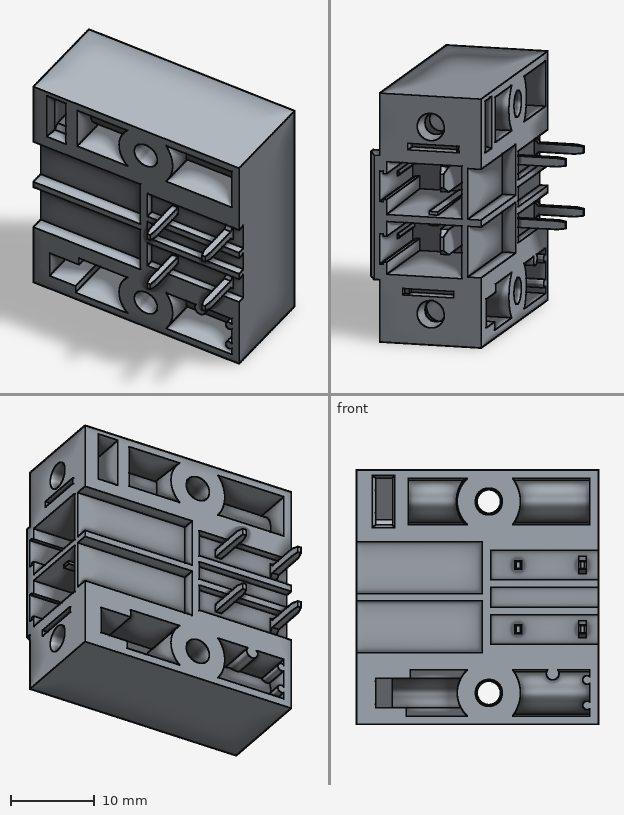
import cadquery as cq

LENGTH = 29.0
DEPTH = 12.65
HEIGHT = 30.48

FLANGE_Z = 11.45
SCREW_Y = 6.28
BOSS_X = 15.85
BOSS_RADIUS = 3.78
BOSS_FLARE = 0.2
BOSS_HOLE_FRONT = 1.62
BOSS_HOLE_BACK = 1.4
SCREW_HOLE_MOUTH = 1.68
SCREW_HOLE_RADIUS = 1.37
SCREW_LEAD_IN = 1.85

POCKET_HALF_HEIGHT = 2.77
LEFT_POCKET_X = 6.2
RIGHT_POCKET_END = 27.95
RIGHT_ARC_X = 15.0
RIGHT_ARC_RADIUS = 4.63
TUBE_Y = 5.58
TUBE_RADIUS = 2.53
PLAIN_POCKET_TOP_X = 6.43
PLAIN_POCKET_BOTTOM_X = 5.95
CHANNEL_X = 2.3
CHANNEL_FLAT_END = 4.3
CHANNEL_RADIUS = 1.77

RIB_HALF = 0.43
POSITION_Z = 3.85
FRONT_RECESS_LENGTH = 15.05
FRONT_RECESS_DEPTH = 1.68
FRONT_RECESS_TOP = 6.65
PIN_RECESS_X = 16.05
PIN_RECESS_DEPTH = 1.0
PIN_RECESS_HALF = 1.77
MIDDLE_RECESS_HALF = 1.22

SOCKET_DEPTH = 14.33
SOCKET_Y = (2.4, 11.77)
SOCKET_TOP = 6.9
SOCKET_DRAFT = 0.25
KEY_LIP_Y = 12.22
KEY_NECK_HALF = 1.6
KEY_HALF = 1.85
KEY_BUMP_RADIUS = 0.27
KEY_BUMP_X = 7.62
RIDGE_X = 1.22
RIDGE_WIDTH = 1.1
RIDGE_TOP = 0.85
BLADE_TIP_X = 4.88
BLADE_TAPER = 1.22
BLADE_SIZE = (1.0, 3.1)
BLADE_TIP_SIZE = (0.4, 1.68)

PINS = ((19.35, 0.82), (27.07, 0.9))
PIN_HEIGHT = 1.05
PIN_END_Y = -5.0
PIN_TIP_LENGTH = 1.0
PIN_TIP_SIZE = (0.45, 0.8)
PIN_ROOT_HEIGHT = 2.07

RAIL_HALF = 7.62
RAIL_Y = 13.5
RAIL_END = 15.75
RAIL_CHAMFER = RAIL_Y - DEPTH
LATCH_Y = 14.3
LATCH_NOSE_Y = 13.32
LATCH_RAMP_END = 1.92
LATCH_END = 3.05

NUT_X = (1.85, 4.6)
NUT_Z = (8.3, 14.63)
NUT_INNER_X = (2.3, 4.33)
NUT_INNER_Z = (8.65, 14.25)
NUT_FLOOR_Z = 9.3
NUT_MOUTH_DEPTH = 1.22
NUT_RAMP_DEPTH = 1.83
NUT_END_Y = 9.1

WINDOW_Z = (8.5, 9.3)
WINDOW_WIDTH = 6.35
UPPER_WINDOW_Y = 2.77
LOWER_WINDOW_Y = 3.4
WINDOW_STEP = 0.52
WINDOW_SHALLOW = 0.9
WINDOW_DEEP = 1.85

POCKET_RIBS = ((23.5, -9.15, 0.75), (27.6, -9.9, 0.52), (27.6, -12.95, 0.52))


def box(x, y, z):
    """Block spanning the given (low, high) limits."""
    size = (x[1] - x[0], y[1] - y[0], z[1] - z[0])
    return cq.Workplane("XY").box(*size, centered=False).translate((x[0], y[0], z[0]))


def span(centre, half):
    """Limits lying half the width to either side of a centre."""
    return (centre - half, centre + half)


def signed(sign, low, high):
    """Limits (low, high) placed above (sign 1) or below (sign -1) the centre."""
    return tuple(sorted((sign * low, sign * high)))


def rect_of(u, z):
    """Centre and size of the rectangle with limits u and z."""
    return (sum(u) / 2, sum(z) / 2, u[1] - u[0], z[1] - z[0])


def cone(start, direction, length, radius, end_radius):
    """Round bar, drafted when the two radii differ."""
    origin = cq.Vector(*start)
    heading = cq.Vector(*direction)
    if radius == end_radius:
        solid = cq.Solid.makeCylinder(radius, length, origin, heading)
    else:
        solid = cq.Solid.makeCone(radius, end_radius, length, origin, heading)
    return cq.Workplane(obj=solid)


def bar_x(x, y, z, radius):
    return cone((x[0], y, z), (1, 0, 0), x[1] - x[0], radius, radius)


def bar_y(x, y, z, radius):
    return cone((x, y[0], z), (0, 1, 0), y[1] - y[0], radius, radius)


def frustum(plane, start, start_box, end, end_box):
    """Loft along X ("YZ") or +Y ("XZ") between two rectangles of (centre u, centre z, width, height)."""
    def section(position, rect):
        u, z, width, height = rect
        left, right = span(u, width / 2)
        low, high = span(z, height / 2)
        corners = [(left, low), (right, low), (right, high), (left, high)]
        if plane == "YZ":
            points = [cq.Vector(position, a, b) for a, b in corners]
        else:
            points = [cq.Vector(a, position, b) for a, b in corners]
        return cq.Wire.makePolygon(points, close=True)
    ends = [section(start, start_box), section(end, end_box)]
    return cq.Workplane(obj=cq.Solid.makeLoft(ends, True))


def latch_rail():
    """Latch rail with a ramped nose at the left end."""
    profile = [
        (0, DEPTH),
        (0, LATCH_NOSE_Y),
        (LATCH_RAMP_END, LATCH_Y),
        (LATCH_END, LATCH_Y),
        (LATCH_END, RAIL_Y),
        (RAIL_END - RAIL_CHAMFER, RAIL_Y),
        (RAIL_END, DEPTH),
    ]
    return cq.Workplane("XY").polyline(profile).close().extrude(RAIL_HALF, both=True)


def front_recesses():
    """Open recesses in the front face, around the sockets and the pins."""
    pin_x = (PIN_RECESS_X, LENGTH)
    pin_y = (0, PIN_RECESS_DEPTH)
    cut = box(pin_x, pin_y, span(0, MIDDLE_RECESS_HALF))
    for sign in (1, -1):
        socket_z = signed(sign, RIB_HALF, FRONT_RECESS_TOP)
        cut = cut.union(box((0, FRONT_RECESS_LENGTH), (0, FRONT_RECESS_DEPTH), socket_z))
        cut = cut.union(box(pin_x, pin_y, span(sign * POSITION_Z, PIN_RECESS_HALF)))
    return cut


def flange_pockets(sign):
    """Pockets left and right of one boss, open to the front, with half-round floors."""
    z = sign * FLANGE_Z
    pocket_z = span(z, POCKET_HALF_HEIGHT)
    pocket_y = (0, TUBE_Y)
    channel_y = (0, SCREW_Y)
    right_x = (BOSS_X, RIGHT_POCKET_END)
    right = box(right_x, pocket_y, pocket_z)
    right = right.cut(bar_x(right_x, TUBE_Y, z, TUBE_RADIUS))
    right = right.cut(bar_y(RIGHT_ARC_X, pocket_y, z, RIGHT_ARC_RADIUS))
    if sign > 0:
        left_x = (LEFT_POCKET_X, BOSS_X)
        left = box(left_x, pocket_y, pocket_z).cut(bar_x(left_x, TUBE_Y, z, TUBE_RADIUS))
        left = left.cut(cone((BOSS_X, 0, z), (0, 1, 0), TUBE_Y, BOSS_RADIUS, BOSS_RADIUS + BOSS_FLARE))
    else:
        left = box((PLAIN_POCKET_TOP_X, BOSS_X), channel_y, (z, pocket_z[1]))
        left = left.union(box((PLAIN_POCKET_BOTTOM_X, BOSS_X), channel_y, (pocket_z[0], z)))
        channel_z = span(z, CHANNEL_RADIUS)
        left = left.union(box((CHANNEL_X, BOSS_X), channel_y, channel_z))
        left = left.union(box((CHANNEL_X, CHANNEL_FLAT_END), (0, SCREW_Y + CHANNEL_RADIUS), channel_z))
        left = left.union(bar_x((CHANNEL_FLAT_END, BOSS_X), SCREW_Y, z, CHANNEL_RADIUS))
        for rib_x, rib_z, radius in POCKET_RIBS:
            right = right.cut(bar_y(rib_x, pocket_y, rib_z, radius))
    lead_in = cone((0, SCREW_Y, z), (1, 0, 0), SCREW_LEAD_IN, SCREW_HOLE_MOUTH, SCREW_HOLE_RADIUS)
    bore = bar_x((SCREW_LEAD_IN, BOSS_X), SCREW_Y, z, SCREW_HOLE_RADIUS)
    left = left.union(lead_in).union(bore).cut(bar_y(BOSS_X, (0, DEPTH), z, BOSS_RADIUS))
    return left.union(right)


def boss_hole(sign):
    return cone((BOSS_X, 0, sign * FLANGE_Z), (0, 1, 0), DEPTH, BOSS_HOLE_FRONT, BOSS_HOLE_BACK)


def nut_slot():
    """Nut slot with a drafted mouth and a ramp at its lower end."""
    inner = rect_of(NUT_INNER_X, NUT_INNER_Z)
    seat = rect_of(NUT_INNER_X, (NUT_FLOOR_Z, NUT_INNER_Z[1]))
    mouth = frustum("XZ", 0, rect_of(NUT_X, NUT_Z), NUT_MOUTH_DEPTH, inner)
    ramp = frustum("XZ", NUT_MOUTH_DEPTH, inner, NUT_RAMP_DEPTH, seat)
    return mouth.union(ramp).union(frustum("XZ", NUT_RAMP_DEPTH, seat, NUT_END_Y, seat))


def window(sign):
    """Narrow blind window beside one screw hole, shallower at its outer end."""
    z = signed(sign, *WINDOW_Z)
    if sign > 0:
        low = UPPER_WINDOW_Y
        deep_y = (low + WINDOW_STEP, low + WINDOW_WIDTH)
    else:
        low = LOWER_WINDOW_Y
        deep_y = (low, low + WINDOW_WIDTH - WINDOW_STEP)
    shallow = box((0, WINDOW_SHALLOW), (low, low + WINDOW_WIDTH), z)
    return shallow.union(box((0, WINDOW_DEEP), deep_y, z))


def socket(sign):
    """Plug socket with its keyway in the back wall and a ridge on the middle rib."""
    cut = box((0, SOCKET_DEPTH), SOCKET_Y, signed(sign, RIB_HALF, SOCKET_TOP))
    z = sign * POSITION_Z
    keyway = box((0, SOCKET_DEPTH), (SOCKET_Y[1], DEPTH), span(z, KEY_NECK_HALF))
    keyway = keyway.union(box((0, SOCKET_DEPTH), (KEY_LIP_Y, DEPTH), span(z, KEY_HALF)))
    keyway = keyway.cut(bar_x((KEY_BUMP_X, SOCKET_DEPTH), DEPTH, z, KEY_BUMP_RADIUS))
    ridge = box((RIDGE_X, SOCKET_DEPTH), span(SCREW_Y, RIDGE_WIDTH / 2), signed(sign, RIB_HALF, RIDGE_TOP))
    cut = cut.union(keyway).cut(ridge)
    if sign > 0:
        wedge = [(0, RIB_HALF), (SOCKET_DEPTH, RIB_HALF), (SOCKET_DEPTH, RIB_HALF + SOCKET_DRAFT)]
        floor = cq.Workplane("XZ").polyline(wedge).close().extrude(-SOCKET_Y[1])
        cut = cut.cut(floor)
    return cut


def contact_blade(sign):
    z = sign * POSITION_Z
    taper_end = BLADE_TIP_X + BLADE_TAPER
    full = (SCREW_Y, z, *BLADE_SIZE)
    tip = frustum("YZ", BLADE_TIP_X, (SCREW_Y, z, *BLADE_TIP_SIZE), taper_end, full)
    return tip.union(frustum("YZ", taper_end, full, SOCKET_DEPTH, full))


def solder_pin(x, width, sign):
    z = sign * POSITION_Z
    full = (x, z, width, PIN_HEIGHT)
    shoulder = PIN_END_Y + PIN_TIP_LENGTH
    tip = frustum("XZ", PIN_END_Y, (x, z, *PIN_TIP_SIZE), shoulder, full)
    return tip.union(frustum("XZ", shoulder, full, PIN_RECESS_DEPTH, full))


def pin_root(sign):
    """Flared root of the right-hand pin, sloping at 45 degrees inside its recess."""
    x, width = PINS[1]
    z = sign * POSITION_Z
    flare = (PIN_ROOT_HEIGHT - PIN_HEIGHT) / 2
    return frustum("XZ", PIN_RECESS_DEPTH - flare, (x, z, width, PIN_HEIGHT),
                   PIN_RECESS_DEPTH, (x, z, width, PIN_ROOT_HEIGHT))


result = box((0, LENGTH), (0, DEPTH), span(0, HEIGHT / 2)).union(latch_rail())
result = result.cut(front_recesses()).cut(nut_slot())
for side in (1, -1):
    result = result.cut(flange_pockets(side)).cut(boss_hole(side))
    result = result.cut(window(side)).cut(socket(side))
    result = result.union(contact_blade(side)).union(pin_root(side))
    for pin_x, pin_width in PINS:
        result = result.union(solder_pin(pin_x, pin_width, side))